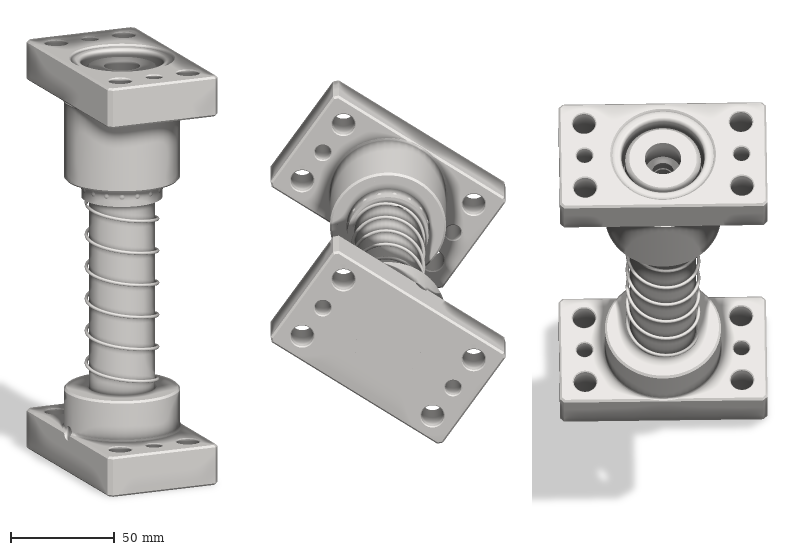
import cadquery as cq
import math

total_height = 204.11
turn_angle = -34.75
edge_chamfer = 1.0

plate_length = 100.0
plate_width = 58.0
plate_thickness = 20.0
corner_cut = 2.0
screw_hole_diameter = 11.0
dowel_hole_diameter = 7.8
hole_chamfer = 0.5
hole_spacing_long = 75.6
hole_spacing_wide = 35.7

boss_radius = 28.0
root_fillet = 1.0
upper_boss_length = 40.0
lower_boss_length = 20.0

post_radius = 16.0
post_seat_chamfer = 0.6
cap_radius = 18.25
cap_chamfer = 2.0
cap_thickness = 18.0
cap_recess = 4.0
cap_counterbore_depth = 13.0
cap_counterbore_diameter = 17.5
cap_clearance_diameter = 10.5
tapped_hole_diameter = 9.2
tapped_hole_depth = 25.0
drill_point_angle = 118.0

bush_radius = 24.5
bush_bore_radius = 20.0
bush_entry_radius = 1.8
bush_recess = 1.0
cage_outer_radius = 19.6
cage_inner_radius = 16.5
cage_overhang = 9.2
ball_count = 16
ball_radius = (bush_bore_radius - post_radius) / 2
ball_drop = 4.3
ball_start_angle = -81.4

wire_diameter = 1.6
spring_outer_radius = 18.0
spring_pitch = 16.0
spring_start_height = 29.2

vent_diameter = 7.0
vent_depth = 10.0
vent_drop = 0.3

upper_plate_bottom = total_height - plate_thickness
upper_housing_bottom = upper_plate_bottom - upper_boss_length
lower_housing_top = plate_thickness + lower_boss_length
cap_top = total_height - cap_recess
cap_bottom = cap_top - cap_thickness
cage_bottom = upper_housing_bottom - cage_overhang
bush_top = total_height - bush_recess


def cylinder(radius, bottom, top):
    return cq.Workplane("XY").workplane(offset=bottom).circle(radius).extrude(top - bottom)


def cone(bottom_radius, top_radius, bottom, top):
    solid = cq.Solid.makeCone(bottom_radius, top_radius, top - bottom, cq.Vector(0, 0, bottom))
    return cq.Workplane(obj=solid)


def turned(body):
    return body.rotate((0, 0, 0), (0, 0, 1), turn_angle)


def flange_housing(boss_length):
    """Plate standing on Z = 0 with a round boss on top, before it is bored."""
    plate = (
        cq.Workplane("XY")
        .rect(plate_length, plate_width)
        .extrude(plate_thickness)
        .edges("|Z")
        .chamfer(corner_cut)
        .faces("<Z or >Z")
        .chamfer(edge_chamfer)
    )
    half_long = hole_spacing_long / 2
    half_wide = hole_spacing_wide / 2
    screw_points = [(x, y) for x in (-half_long, half_long) for y in (-half_wide, half_wide)]
    dowel_points = [(-half_long, 0), (half_long, 0)]
    for points, diameter in ((screw_points, screw_hole_diameter), (dowel_points, dowel_hole_diameter)):
        for x, y in points:
            plate = plate.cut(chamfered_drill(diameter / 2).translate((x, y, 0)))
    boss_top = plate_thickness + boss_length
    boss = cylinder(boss_radius, 0, boss_top).faces(">Z").chamfer(edge_chamfer)
    return plate.union(boss).union(root_ring())


def chamfered_drill(radius):
    """Through hole of the plate, widened at both faces."""
    wide = radius + hole_chamfer
    top = plate_thickness
    return (
        cq.Workplane("XZ")
        .polyline([
            (0, 0),
            (wide, 0),
            (radius, hole_chamfer),
            (radius, top - hole_chamfer),
            (wide, top),
            (0, top),
        ])
        .close()
        .revolve(360, (0, 0, 0), (0, 1, 0))
    )


def root_ring():
    """Concave ring that blends the boss into the plate face."""
    inner_radius = boss_radius - root_fillet
    arc_offset = root_fillet * (1 - math.sqrt(0.5))
    return (
        cq.Workplane("XZ")
        .moveTo(inner_radius, plate_thickness)
        .lineTo(boss_radius + root_fillet, plate_thickness)
        .threePointArc(
            (boss_radius + arc_offset, plate_thickness + arc_offset),
            (boss_radius, plate_thickness + root_fillet),
        )
        .lineTo(inner_radius, plate_thickness + root_fillet)
        .close()
        .revolve(360, (0, 0, 0), (0, 1, 0))
    )


def make_upper_housing():
    body = flange_housing(upper_boss_length)
    body = body.rotate((0, 0, 0), (1, 0, 0), 180).translate((0, 0, total_height))
    body = body.cut(cylinder(bush_radius, upper_housing_bottom, total_height))
    entry = cone(bush_radius, bush_radius + bush_recess, bush_top, total_height)
    return turned(body.cut(entry))


def make_lower_housing():
    body = flange_housing(lower_boss_length)
    body = body.cut(cylinder(post_radius, 0, lower_housing_top))
    seat = cone(
        post_radius,
        post_radius + post_seat_chamfer,
        lower_housing_top - post_seat_chamfer,
        lower_housing_top,
    )
    vent = (
        cq.Workplane("XZ", origin=(0, -plate_width / 2, plate_thickness - vent_drop))
        .circle(vent_diameter / 2)
        .extrude(-vent_depth)
    )
    return turned(body.cut(seat).cut(vent))


def make_bush():
    bush = cylinder(bush_radius, upper_housing_bottom, bush_top)
    bush = bush.cut(cylinder(bush_bore_radius, upper_housing_bottom, bush_top))
    return bush.faces(">Z").edges(cq.selectors.RadiusNthSelector(0)).fillet(bush_entry_radius)


def make_cage():
    cage = cylinder(cage_outer_radius, cage_bottom, cap_bottom)
    cage = cage.cut(cylinder(cage_inner_radius, cage_bottom, cap_bottom))
    ball_height = upper_housing_bottom - ball_drop
    ball_circle = post_radius + ball_radius
    for index in range(ball_count):
        angle = math.radians(ball_start_angle + index * 360 / ball_count)
        centre = (ball_circle * math.cos(angle), ball_circle * math.sin(angle), ball_height)
        cage = cage.union(cq.Workplane("XY").sphere(ball_radius).translate(centre))
    return cage


def make_post():
    post = cylinder(post_radius, 0, cap_bottom)
    hole_radius = tapped_hole_diameter / 2
    hole_bottom = cap_bottom - tapped_hole_depth
    point_length = hole_radius / math.tan(math.radians(drill_point_angle / 2))
    post = post.cut(cylinder(hole_radius, hole_bottom, cap_bottom))
    return post.cut(cone(0, hole_radius, hole_bottom - point_length, hole_bottom))


def make_cap():
    return (
        cylinder(cap_radius, cap_bottom, cap_top)
        .faces(">Z")
        .chamfer(cap_chamfer)
        .faces(">Z")
        .workplane()
        .cboreHole(cap_clearance_diameter, cap_counterbore_diameter, cap_counterbore_depth)
    )


def make_spring():
    """Left-hand coil with both ends cut flat between the lower boss and the cage."""
    coil_radius = spring_outer_radius - wire_diameter / 2
    helix_height = cage_bottom + spring_pitch / 2 - spring_start_height
    path = cq.Wire.makeHelix(spring_pitch, helix_height, coil_radius, lefthand=True)
    coil = (
        cq.Workplane("XZ", origin=(coil_radius, 0, 0))
        .circle(wire_diameter / 2)
        .sweep(cq.Workplane(obj=path), isFrenet=True)
        .translate((0, 0, spring_start_height))
    )
    return coil.intersect(cylinder(2 * spring_outer_radius, lower_housing_top, cage_bottom))


upper_housing = make_upper_housing()
lower_housing = make_lower_housing()
bush = make_bush()
cage = make_cage()
post = make_post()
cap = make_cap()
spring = make_spring()

result = cq.Compound.makeCompound([
    upper_housing.val(),
    lower_housing.val(),
    bush.val(),
    cage.val(),
    post.val(),
    cap.val(),
    spring.val(),
])